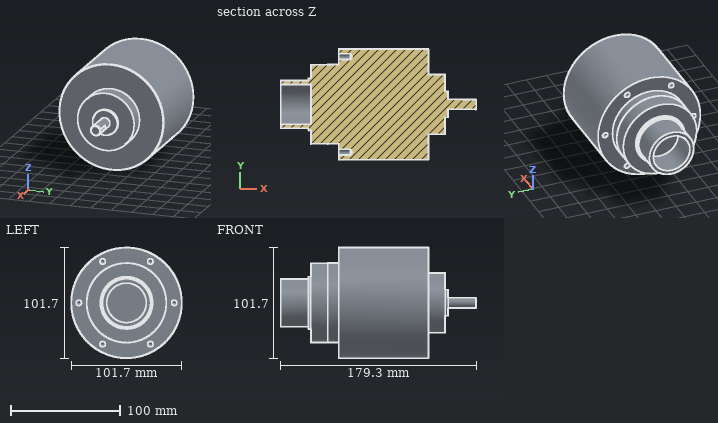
import cadquery as cq
import math

tube_end = 0.0
front_collar_x = 25.1
flange_x = 27.6
flange_joint_x = 43.2
body_x = 53.0
body_back_x = 135.7
hub_back_x = 150.8
back_collar_x = 153.5
shaft_end_x = 179.3

body_diameter = 101.7

bore_radius = 18.1
tube_radius = 22.0
front_collar_radius = 24.0
flange_radius = 36.4
flange_neck_radius = 36.5
body_radius = body_diameter / 2
hub_radius = 27.5
back_collar_radius = 12.0
shaft_radius = 4.8

edge_chamfer = 0.5

hole_count = 6
hole_circle_radius = 43.8
hole_radius = 2.5
hole_depth = 10.8
drill_tip_angle = 118.0

flat_length = 13.6
flat_depth = 0.27


def cylinder(x_start, x_end, radius):
    """Solid cylinder about the X axis between two stations."""
    plane = cq.Workplane("YZ", origin=(x_start, 0, 0))
    return plane.circle(radius).extrude(x_end - x_start)


def turned_body():
    """All coaxial steps, from the tube at -X to the shaft at +X."""
    tube = cylinder(tube_end, flange_x, tube_radius)
    front_collar = cylinder(front_collar_x, flange_x, front_collar_radius)
    front_collar = front_collar.faces("<X").chamfer(edge_chamfer)
    flange = cylinder(flange_x, flange_joint_x, flange_radius)
    flange_neck = cylinder(flange_joint_x, body_x, flange_neck_radius)
    body = cylinder(body_x, body_back_x, body_radius).faces(">X").chamfer(edge_chamfer)
    hub = cylinder(body_back_x, hub_back_x, hub_radius)
    back_collar = cylinder(hub_back_x, back_collar_x, back_collar_radius)
    shaft = cylinder(back_collar_x, shaft_end_x, shaft_radius).faces(">X").chamfer(edge_chamfer)

    turned = tube
    for step in (front_collar, flange, flange_neck, body, hub, back_collar, shaft):
        turned = turned.union(step)
    return turned


def drilled_hole():
    """Blind hole cutter on the X axis with a conical drill tip."""
    tip_length = hole_radius / math.tan(math.radians(drill_tip_angle / 2))
    return (
        cq.Workplane("XY")
        .moveTo(body_x, 0)
        .lineTo(body_x, hole_radius)
        .lineTo(body_x + hole_depth, hole_radius)
        .lineTo(body_x + hole_depth + tip_length, 0)
        .close()
        .revolve(360, (0, 0, 0), (1, 0, 0))
    )


def shaft_flat():
    """Block that planes the flat onto the end of the shaft."""
    corner = (shaft_end_x - flat_length, shaft_radius - flat_depth, 0)
    block = cq.Workplane("XY", origin=corner)
    return block.box(flat_length, shaft_radius, 2 * shaft_radius, centered=(False, False, True))


result = turned_body()

result = result.cut(cylinder(tube_end, flange_x, bore_radius))

for index in range(hole_count):
    angle = index * 360 / hole_count
    cutter = drilled_hole().translate((0, hole_circle_radius, 0))
    result = result.cut(cutter.rotate((0, 0, 0), (1, 0, 0), angle))

result = result.cut(shaft_flat())